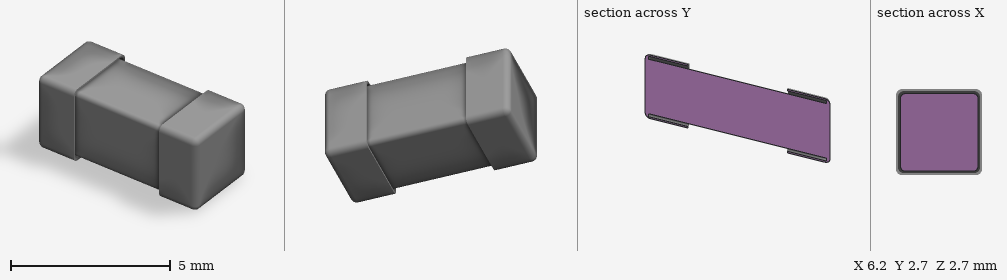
import cadquery as cq
length = 6.2
side = 2.7

cap_length = 1.445
cap_radius = 0.2
cap_side_wall = 0.06
cap_end_wall = 0.13

cavity_side = side - 2 * cap_side_wall
cavity_length = length - 2 * cap_end_wall

body_gap = 0.07
body_side = cavity_side - 2 * body_gap
body_radius = 0.15


def square_bar(bar_side, corner_radius):
    """Square bar between the cap end walls, with rounded long edges."""
    bar = cq.Workplane("XY").box(cavity_length, bar_side, bar_side)
    return bar.edges("|X").fillet(corner_radius)


def solid_cap(direction):
    """Solid square cap at one end along X, rounded everywhere but at its rim."""
    rim = "<X" if direction > 0 else ">X"
    cap = cq.Workplane("XY").box(cap_length, side, side)
    cap = cap.edges(f"not({rim})").fillet(cap_radius)
    return cap.translate((direction * (length - cap_length) / 2, 0, 0))


cavity = square_bar(cavity_side, cap_radius)
body = square_bar(body_side, body_radius)

caps = solid_cap(-1).union(solid_cap(1)).cut(cavity)
result = caps.union(body)